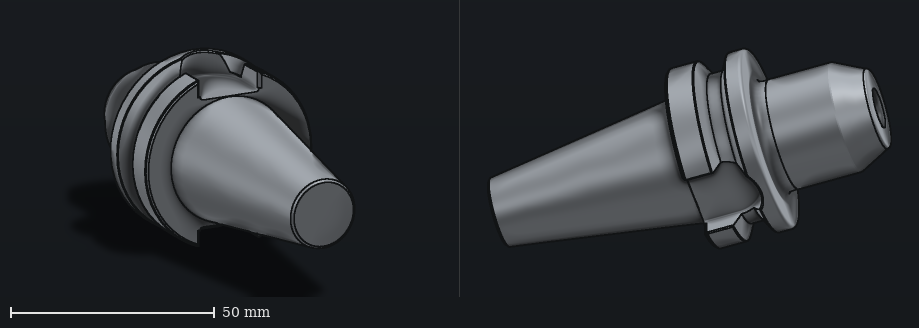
import cadquery as cq
import math

total_length = 98.4
nose_cone_end = 8.4
body_end = 24.7
relief_start = 26.2
flange_start = 27.9
flange_end = 47.9
vee_start = 32.4
vee_end = 40.4

nose_radius = 10.2
body_radius = 28.0 / 2
neck_radius = 27.8 / 2
flange_radius = 46.0 / 2
vee_floor_radius = 19.1
shank_radius = 16.1
shank_slope = 7 / 24 / 2

nose_fillet = 0.7
flange_front_fillet = 1.0
flange_rear_chamfer = 0.6
rim_chamfer = 0.2
shank_end_chamfer = 0.6
relief_radius = 2.0
relief_outer_radius = 17.1
vee_flank_angle = 30

bore_diameter = 8.0
bore_mouth_diameter = 10.0
bore_edge_fillet = 1.4
bore_depth = 29.5

slot_width = 16.1
slot_front = 30.7
slot_floor_height = 16.3
slot_floor_fillet = 0.8
slot_edge_chamfer = 0.4
slot_mouth_chamfer = 0.8


def make_turned_body():
    """Revolve the outer profile of nose, flange and taper shank about X."""
    vee_run = (flange_radius - vee_floor_radius) * math.tan(math.radians(vee_flank_angle))
    shank_end_radius = shank_radius - (total_length - flange_end) * shank_slope
    relief_bottom = relief_start + relief_radius
    arc_offset = relief_radius * math.sqrt(0.5)
    relief_center_radius = neck_radius + relief_radius
    front_fillet_bulge = flange_front_fillet * (1 - math.sqrt(0.5))
    nose_fillet_bulge = nose_fillet * (1 - math.sqrt(0.5))

    profile = (
        cq.Workplane("XY")
        .moveTo(0, 0)
        .lineTo(0, nose_radius - nose_fillet)
        .threePointArc(
            (nose_fillet_bulge, nose_radius - nose_fillet_bulge),
            (nose_fillet, nose_radius),
        )
        .lineTo(nose_cone_end, body_radius)
        .lineTo(body_end, body_radius)
        .lineTo(body_end, neck_radius)
        .lineTo(relief_start, neck_radius)
        .threePointArc(
            (relief_start + arc_offset, relief_center_radius - arc_offset),
            (relief_bottom, relief_center_radius),
        )
        .lineTo(flange_start, relief_outer_radius)
        .lineTo(flange_start, flange_radius - flange_front_fillet)
        .threePointArc(
            (flange_start + front_fillet_bulge, flange_radius - front_fillet_bulge),
            (flange_start + flange_front_fillet, flange_radius),
        )
        .lineTo(vee_start, flange_radius)
        .lineTo(vee_start + vee_run, vee_floor_radius)
        .lineTo(vee_end - vee_run, vee_floor_radius)
        .lineTo(vee_end, flange_radius)
        .lineTo(flange_end - flange_rear_chamfer, flange_radius)
        .lineTo(flange_end, flange_radius - flange_rear_chamfer)
        .lineTo(flange_end, shank_radius)
        .lineTo(total_length - shank_end_chamfer, shank_end_radius + shank_end_chamfer * shank_slope)
        .lineTo(total_length, shank_end_radius - shank_end_chamfer)
        .lineTo(total_length, 0)
        .close()
    )
    return profile.revolve(360, (0, 0, 0), (1, 0, 0))


def break_rim(body, rim_x, rim_radius):
    """Chamfer the circular edge with the given axial position and radius."""
    tolerance = 0.001

    def is_rim(edge):
        return (
            edge.geomType() == "CIRCLE"
            and abs(edge.Center().x - rim_x) < tolerance
            and abs(edge.radius() - rim_radius) < tolerance
        )

    return body.edges().filter(is_rim).chamfer(rim_chamfer)


def break_rims(body):
    """Break the cone shoulder, both groove rims and the rear flange rim."""
    body = break_rim(body, nose_cone_end, body_radius)
    for rim_x in (vee_start, vee_end, flange_end - flange_rear_chamfer):
        body = break_rim(body, rim_x, flange_radius)
    return body


def make_bore():
    """Blind bore with a rounded 45 degree chamfer at its mouth."""
    mouth_chamfer = (bore_mouth_diameter - bore_diameter) / 2
    bore = (
        cq.Workplane("XY")
        .lineTo(0, bore_mouth_diameter / 2)
        .lineTo(mouth_chamfer, bore_diameter / 2)
        .lineTo(bore_depth, bore_diameter / 2)
        .lineTo(bore_depth, 0)
        .close()
        .revolve(360, (0, 0, 0), (1, 0, 0))
    )
    chamfer_end = cq.selectors.NearestToPointSelector((mouth_chamfer, 0, 0))
    return bore.edges("%CIRCLE").edges(chamfer_end).fillet(bore_edge_fillet)


def make_slot_cutter():
    """U-shaped cutter for the +Z slot, open toward the shank."""
    half_width = slot_width / 2
    center_x = slot_front + half_width
    return (
        cq.Workplane("XY", origin=(0, 0, slot_floor_height))
        .moveTo(total_length, half_width)
        .lineTo(center_x, half_width)
        .threePointArc((slot_front, 0), (center_x, -half_width))
        .lineTo(total_length, -half_width)
        .close()
        .extrude(flange_radius)
        .faces("<Z")
        .edges("not(>X)")
        .fillet(slot_floor_fillet)
    )


def make_slot_mouth_cutter():
    """Flared prism that chamfers the upright wall edges at the mouth of the +Z slot."""
    half_width = slot_width / 2
    flare_start = flange_end - slot_mouth_chamfer
    flared_half_width = half_width + slot_mouth_chamfer
    return (
        cq.Workplane("XY", origin=(0, 0, slot_floor_height + slot_floor_fillet))
        .moveTo(flare_start, -half_width)
        .lineTo(flange_end, -flared_half_width)
        .lineTo(flange_end, flared_half_width)
        .lineTo(flare_start, half_width)
        .close()
        .extrude(flange_radius)
    )


def cut_drive_slots(body):
    """Cut both drive slots and break the exposed edges of their walls."""
    top_cutter = make_slot_cutter()
    body = body.cut(top_cutter)
    body = body.cut(top_cutter.rotate((0, 0, 0), (1, 0, 0), 180))
    half_width = slot_width / 2
    edge_height = math.sqrt(flange_radius**2 - half_width**2)
    wall_middle_x = (vee_end + flange_end) / 2
    for side_z in (-1, 1):
        wall_edges = [
            (wall_middle_x, -half_width, side_z * edge_height),
            (wall_middle_x, half_width, side_z * edge_height),
            (slot_front, 0, side_z * flange_radius),
        ]
        for point in wall_edges:
            edge = cq.selectors.NearestToPointSelector(point)
            body = body.edges(edge).chamfer(slot_edge_chamfer)
    mouth_cutter = make_slot_mouth_cutter()
    body = body.cut(mouth_cutter)
    return body.cut(mouth_cutter.rotate((0, 0, 0), (1, 0, 0), 180))


turned_body = break_rims(make_turned_body())
result = cut_drive_slots(turned_body).cut(make_bore())